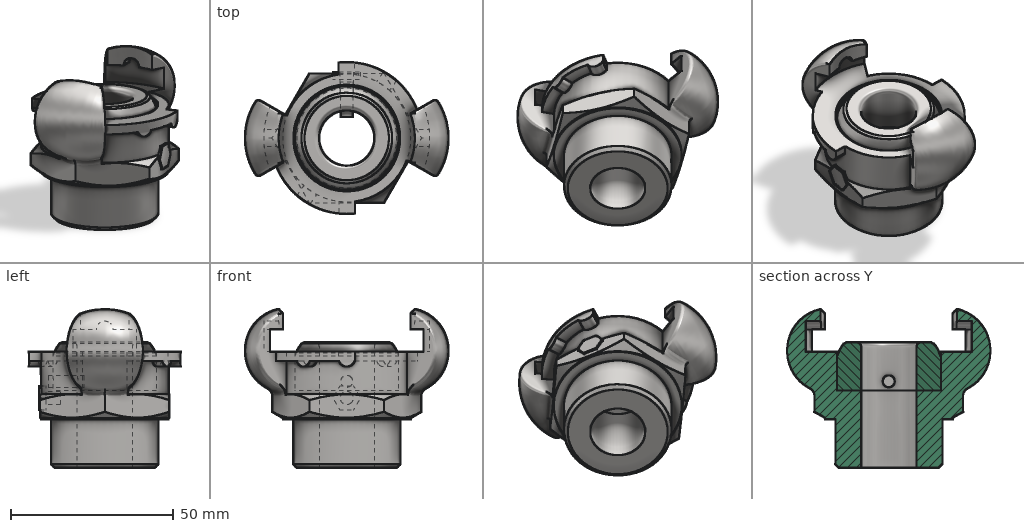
import cadquery as cq
import math

CUT_MARGIN = 3.15
HEX_SIDES = 6

THREAD_DIAMETER = 33.2
THREAD_CHAMFER = 1.2
HEX_BOTTOM = 15.0
HEX_TOP = 22.85
HEX_ACROSS_FLATS = 39.95
HEX_CHAMFER_ANGLE = 30
HEX_BOTTOM_RADIUS = 19.0
COLLAR_RADIUS = 19.75
COLLAR_TOP = 35.95
BORE_DIAMETER = 17

RECESS_FLOOR = 23.9
RECESS_MOUTH_DIAMETER = 33.0
RECESS_CHAMFER = 0.5
RECESS_RADIUS = RECESS_MOUTH_DIAMETER / 2 - RECESS_CHAMFER

FLANGE_RADIUS = 23.5
FLANGE_THICKNESS = 2.95
BUMP_RADIUS = 2.6
BUMP_CENTER_Z = 33.85
BUMP_ANGLES = (0, 35)

CLAW_TIP_TOP = 49.0
CLAW_TIP_BOTTOM = 42.7
CLAW_TIP_RADIUS = 21.0
CLAW_SLOT_RADIUS = 25.6
CLAW_REACH = 31.45
CLAW_BACK_RADIUS = 13.2
CLAW_BACK_CENTER_Z = 36.2
CLAW_CROWN_RADIUS = 20.75
CLAW_CROWN_HALF_WIDTH = 16.35
CLAW_APEX = 6.6
CLAW_HALF_ANGLE = 30
CLAW_EDGE_FILLET = 1.0
CLAW_NECK_OVERLAP = 4.4
CLAW_NECK_FILLET = 1.9

SEAL_TOP = 38.8
SEAL_FACE_RADIUS = 13.0
SEAL_SHOULDER_RADIUS = 28.0 / 2
SEAL_SHOULDER_Z = 38.4
SEAL_BULGE = (15.55, COLLAR_TOP)
SEAL_WALL_TOP = 34.6
SEAL_MOUTH_DIAMETER = 20.0

PIN_DIAMETER = 3.7
PIN_INNER_END = 6.5
PIN_OUTER_END = 17.3
PIN_Z = 26.75
BOLT_Z = 21.6
BOLT_CORNER_DIAMETER = 8.5
BOLT_HEAD_TOP = 20.3
BOLT_HEAD_THICKNESS = 2.2
BOLT_SHANK_DIAMETER = 4.0
BOLT_SHANK_LENGTH = 4.4


def cylinder(radius, bottom, top):
    return cq.Workplane("XY").workplane(offset=bottom).circle(radius).extrude(top - bottom)


def both_sides(shape):
    """The shape together with its copy turned half a turn about Z."""
    return shape.union(shape.rotate((0, 0, 0), (0, 0, 1), 180))


def rod_along_y(radius, z, start, end):
    return cq.Workplane("XZ", origin=(0, start, z)).circle(radius).extrude(start - end)


def hex_corner_radius():
    return HEX_ACROSS_FLATS / 2 / math.cos(math.pi / HEX_SIDES)


def hex_prism(bottom, top):
    corner_diameter = 2 * hex_corner_radius()
    base = cq.Workplane("XY").workplane(offset=bottom)
    return base.polygon(HEX_SIDES, corner_diameter).extrude(top - bottom)


def make_hexagon():
    """Wrench hexagon with its corners chamfered to cones above and below."""
    slope = math.tan(math.radians(HEX_CHAMFER_ANGLE))
    corner = hex_corner_radius()
    corner_bottom = HEX_BOTTOM + (corner - HEX_BOTTOM_RADIUS) * slope
    corner_top = HEX_TOP - (corner - COLLAR_RADIUS) * slope
    chamfered_blank = (
        cq.Workplane("XZ")
        .polyline([(0, HEX_BOTTOM), (HEX_BOTTOM_RADIUS, HEX_BOTTOM), (corner, corner_bottom),
                   (corner, corner_top), (COLLAR_RADIUS, HEX_TOP), (0, HEX_TOP)])
        .close()
        .revolve()
    )
    return hex_prism(HEX_BOTTOM, HEX_TOP).intersect(chamfered_blank)


def make_flange():
    """Flange arc from the end bump on -Y round to the claw on -X, with bumps below it."""
    sector = (
        cq.Workplane("XY")
        .workplane(offset=COLLAR_TOP - FLANGE_THICKNESS)
        .polyline([(BUMP_RADIUS, 0), (BUMP_RADIUS, -FLANGE_RADIUS),
                   (-FLANGE_RADIUS, -FLANGE_RADIUS), (-FLANGE_RADIUS, 0)])
        .close()
        .extrude(FLANGE_THICKNESS)
    )
    bump_start = BUMP_RADIUS - COLLAR_RADIUS
    bump_end = -FLANGE_RADIUS - CUT_MARGIN
    for angle in BUMP_ANGLES:
        bump = rod_along_y(BUMP_RADIUS, BUMP_CENTER_Z, bump_start, bump_end)
        sector = sector.union(bump.rotate((0, 0, 0), (0, 0, 1), -angle))
    return sector.intersect(cylinder(FLANGE_RADIUS, 0, COLLAR_TOP))


def make_claw():
    """Claw on -X: a barrel-shaped back cut to a wedge, standing on the hexagon."""
    back_x = CLAW_BACK_RADIUS - CLAW_REACH
    width = CLAW_CROWN_HALF_WIDTH
    edge_radius = (CLAW_BACK_RADIUS - CLAW_CROWN_RADIUS
                   + math.sqrt(CLAW_CROWN_RADIUS**2 - width**2))
    barrel = (
        cq.Workplane("XY", origin=(back_x, 0, CLAW_BACK_CENTER_Z))
        .moveTo(0, -width)
        .lineTo(-edge_radius, -width)
        .threePointArc((-CLAW_BACK_RADIUS, 0), (-edge_radius, width))
        .lineTo(0, width)
        .close()
        .revolve(360, (0, 0), (0, 1))
    )
    outer_x = -CLAW_REACH - CUT_MARGIN
    outer_y = (-CLAW_APEX - outer_x) * math.tan(math.radians(CLAW_HALF_ANGLE))
    wedge = (
        cq.Workplane("XY")
        .polyline([(-CLAW_APEX, 0), (outer_x, outer_y), (outer_x, -outer_y)])
        .close()
        .extrude(CLAW_TIP_TOP + CUT_MARGIN)
    )
    crown = (
        cq.Workplane("YZ")
        .center(0, CLAW_TIP_TOP - CLAW_TIP_RADIUS)
        .circle(CLAW_TIP_RADIUS)
        .extrude(outer_x)
    )
    neck = hex_prism(HEX_TOP - CLAW_NECK_OVERLAP, HEX_TOP + CLAW_NECK_OVERLAP).intersect(wedge)
    claw = barrel.intersect(wedge).edges("not |Z").fillet(CLAW_EDGE_FILLET)
    claw = claw.intersect(crown).union(neck)
    neck_joint = cq.selectors.BoxSelector(
        (-hex_corner_radius(), -width, HEX_TOP),
        (-COLLAR_RADIUS, width, HEX_TOP + CLAW_NECK_OVERLAP),
    )
    return claw.edges(neck_joint).fillet(CLAW_NECK_FILLET)


def cut_claw_mouths(body):
    """Clear the space above the collar, the slots for the mating flange and the detents above them."""
    body = body.cut(cylinder(CLAW_TIP_RADIUS, COLLAR_TOP, CLAW_TIP_TOP + CUT_MARGIN))
    body = body.cut(cylinder(CLAW_SLOT_RADIUS, COLLAR_TOP, CLAW_TIP_BOTTOM))
    detent = (
        cq.Workplane("YZ", origin=(-CLAW_SLOT_RADIUS, 0, CLAW_TIP_BOTTOM))
        .circle(BUMP_RADIUS)
        .extrude(2 * CLAW_SLOT_RADIUS)
    )
    return body.cut(detent.intersect(cylinder(CLAW_SLOT_RADIUS, COLLAR_TOP, CLAW_TIP_TOP)))


def make_recess():
    """Space for the seal, with a chamfered mouth."""
    mouth_radius = RECESS_MOUTH_DIAMETER / 2
    return (
        cq.Workplane("XZ")
        .polyline([(0, RECESS_FLOOR), (RECESS_RADIUS, RECESS_FLOOR),
                   (RECESS_RADIUS, COLLAR_TOP - RECESS_CHAMFER), (mouth_radius, COLLAR_TOP), (0, COLLAR_TOP)])
        .close()
        .revolve()
    )


def make_housing(pin, bolt):
    thread = cylinder(THREAD_DIAMETER / 2, 0, HEX_BOTTOM).faces("<Z").chamfer(THREAD_CHAMFER)
    collar = cylinder(COLLAR_RADIUS, HEX_BOTTOM, COLLAR_TOP)
    body = thread.union(make_hexagon()).union(collar)
    body = body.union(both_sides(make_flange().union(make_claw())))
    body = cut_claw_mouths(body)
    body = body.cut(cylinder(BORE_DIAMETER / 2, 0, COLLAR_TOP)).cut(make_recess())
    return body.cut(pin).cut(bolt)


def make_seal(pin):
    """Ring filling the recess, crowned above the collar and pierced by the stop pin."""
    bore_radius = BORE_DIAMETER / 2
    mouth_radius = SEAL_MOUTH_DIAMETER / 2
    mouth_rounding = mouth_radius - bore_radius
    ring = (
        cq.Workplane("XZ")
        .moveTo(bore_radius, RECESS_FLOOR)
        .lineTo(RECESS_RADIUS, RECESS_FLOOR)
        .lineTo(RECESS_RADIUS, SEAL_WALL_TOP)
        .threePointArc(SEAL_BULGE, (SEAL_SHOULDER_RADIUS, SEAL_SHOULDER_Z))
        .lineTo(SEAL_FACE_RADIUS, SEAL_TOP)
        .lineTo(mouth_radius, SEAL_TOP)
        .radiusArc((bore_radius, SEAL_TOP - mouth_rounding), -mouth_rounding)
        .close()
        .revolve()
    )
    return ring.cut(pin)


def make_pin():
    """Pin through the seal wall, standing into the bore and seated in the housing."""
    return rod_along_y(PIN_DIAMETER / 2, PIN_Z, PIN_INNER_END, PIN_OUTER_END)


def make_bolt():
    """Bolt with two head flats level, sunk into the housing wall."""
    head_base = BOLT_HEAD_TOP - BOLT_HEAD_THICKNESS
    head = (
        cq.Workplane("XZ", origin=(0, head_base, BOLT_Z))
        .polygon(HEX_SIDES, BOLT_CORNER_DIAMETER)
        .extrude(-BOLT_HEAD_THICKNESS)
    )
    shank = rod_along_y(BOLT_SHANK_DIAMETER / 2, BOLT_Z, head_base - BOLT_SHANK_LENGTH, head_base)
    return head.union(shank)


pin = make_pin()
bolt = make_bolt()
seal = make_seal(pin)
housing = make_housing(pin, bolt)

result = cq.Compound.makeCompound([
    *housing.solids().vals(),
    *seal.solids().vals(),
    *pin.solids().vals(),
    *bolt.solids().vals(),
])